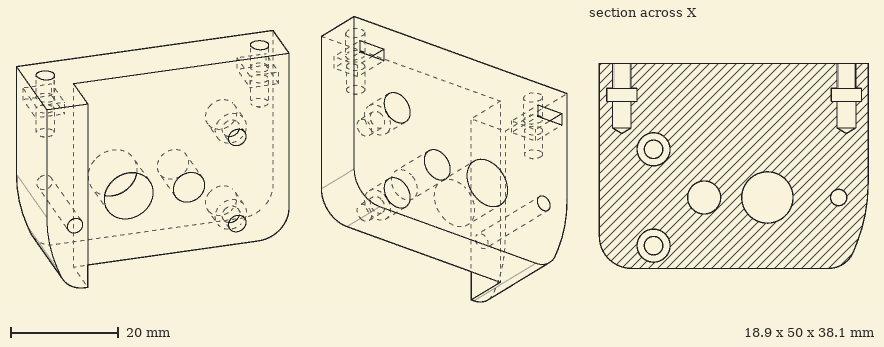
import cadquery as cq
import math

TOTAL_DEPTH = 18.85
WIDTH = 50.0
HEIGHT = 38.12
PLATE_THICKNESS = 10.0
LEG_WIDTH = 8.0

SIDE_ARC_RADIUS = 30.0
SIDE_ARC_ANGLE = math.radians(21.7)
SIDE_ARC_DROP = 22.36
FRONT_CORNER_RADIUS = 5.0
BACK_CORNER_RADIUS = 6.0

BORE_ROW_Z = 13.2
LEG_BORE_DIAMETER = 3.0
LEG_BORE_Y = 5.5
LARGE_BORE_DIAMETER = 9.5
LARGE_BORE_Y = 18.75
MEDIUM_BORE_DIAMETER = 6.1
MEDIUM_BORE_Y = 30.5

SCREW_DIAMETER = 3.4
SCREW_HEAD_DIAMETER = 6.1
SCREW_HEAD_DEPTH = 6.0
SCREW_Y = 39.9
SCREW_SPACING = 17.9

FIXING_INSET_FRONT = 4.07
FIXING_INSET_BACK = 4.2
NUT_SLOT_WIDTH = 5.6
NUT_SLOT_HEIGHT = 2.4
NUT_SLOT_DEPTH = 8.0
NUT_SLOT_DROP = 4.65
BLIND_HOLE_DIAMETER = 3.4
BLIND_HOLE_X = 4.97
BLIND_HOLE_DEPTH = 12.0
DRILL_TIP_ANGLE = math.radians(118)
ENTRY_HOLE_DIAMETER = 3.0
ENTRY_HOLE_X = 5.57


def arc_point(angle):
    """Point (y, z) on the side arc, which leaves the -Y face tangentially."""
    y = SIDE_ARC_RADIUS * (1 - math.cos(angle))
    z = HEIGHT - SIDE_ARC_DROP - SIDE_ARC_RADIUS * math.sin(angle)
    return y, z


def make_body():
    """L-shaped block trimmed to the side outline."""
    arc_end_y, arc_end_z = arc_point(SIDE_ARC_ANGLE)
    slope_foot_y = arc_end_y + arc_end_z * math.tan(SIDE_ARC_ANGLE)
    body = (
        cq.Workplane("YZ")
        .moveTo(0, HEIGHT)
        .lineTo(*arc_point(0))
        .threePointArc(arc_point(SIDE_ARC_ANGLE / 2), (arc_end_y, arc_end_z))
        .lineTo(slope_foot_y, 0)
        .lineTo(WIDTH, 0)
        .lineTo(WIDTH, HEIGHT)
        .close()
        .extrude(TOTAL_DEPTH)
    )
    body = body.faces("<Z").edges("|X").edges("<Y").fillet(FRONT_CORNER_RADIUS)
    body = body.faces("<Z").edges("|X").edges(">Y").fillet(BACK_CORNER_RADIUS)
    clearance = cq.Workplane("XY").box(
        TOTAL_DEPTH - PLATE_THICKNESS, WIDTH - LEG_WIDTH, HEIGHT, centered=False
    )
    return body.cut(clearance.translate((PLATE_THICKNESS, LEG_WIDTH, 0)))


def bore(diameter, y, z, depth=TOTAL_DEPTH):
    """Cylinder running along +X from the -X face."""
    return cq.Workplane("YZ").center(y, z).circle(diameter / 2).extrude(depth)


def counterbored_hole(z):
    """Through hole with a head recess in the -X face."""
    shank = bore(SCREW_DIAMETER, SCREW_Y, z)
    head = bore(SCREW_HEAD_DIAMETER, SCREW_Y, z, SCREW_HEAD_DEPTH)
    return shank.union(head)


def blind_hole(y):
    """Vertical drilled hole with a conical tip."""
    radius = BLIND_HOLE_DIAMETER / 2
    tip_length = radius / math.tan(DRILL_TIP_ANGLE / 2)
    profile = (
        cq.Workplane("XZ")
        .moveTo(0, 0)
        .lineTo(radius, 0)
        .lineTo(radius, -BLIND_HOLE_DEPTH)
        .lineTo(0, -BLIND_HOLE_DEPTH - tip_length)
        .close()
    )
    drill = profile.revolve(360, (0, 0), (0, 1))
    return drill.translate((BLIND_HOLE_X, y, HEIGHT))


def fixing_point(y):
    """Nut slot open to -X, the blind hole through it and the offset entry hole above it."""
    slot_floor_drop = NUT_SLOT_DROP + NUT_SLOT_HEIGHT
    slot = cq.Workplane("XY").box(
        NUT_SLOT_DEPTH, NUT_SLOT_WIDTH, NUT_SLOT_HEIGHT, centered=(False, True, False)
    )
    slot = slot.translate((0, y, HEIGHT - slot_floor_drop))
    entry = (
        cq.Workplane("XY", origin=(ENTRY_HOLE_X, y, HEIGHT))
        .circle(ENTRY_HOLE_DIAMETER / 2)
        .extrude(-slot_floor_drop)
    )
    return slot.union(entry).union(blind_hole(y))


result = make_body()
result = result.cut(bore(LEG_BORE_DIAMETER, LEG_BORE_Y, BORE_ROW_Z))
result = result.cut(bore(LARGE_BORE_DIAMETER, LARGE_BORE_Y, BORE_ROW_Z))
result = result.cut(bore(MEDIUM_BORE_DIAMETER, MEDIUM_BORE_Y, BORE_ROW_Z))
for side in (-1, 1):
    result = result.cut(counterbored_hole(BORE_ROW_Z + side * SCREW_SPACING / 2))
for fixing_y in (FIXING_INSET_FRONT, WIDTH - FIXING_INSET_BACK):
    result = result.cut(fixing_point(fixing_y))